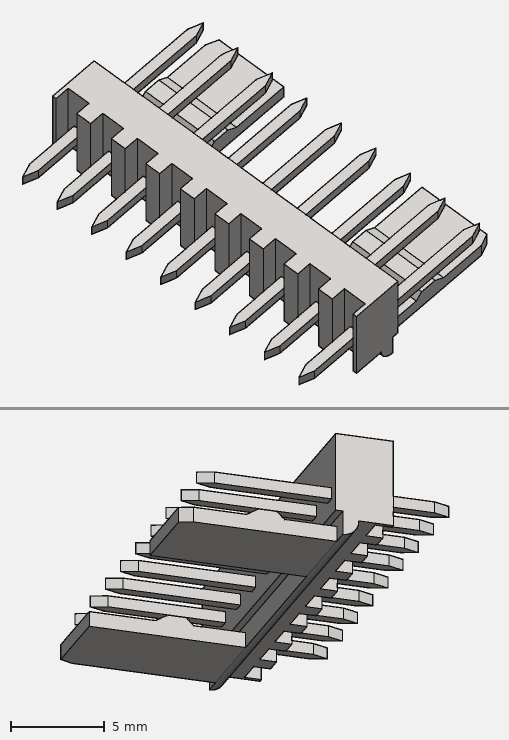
import cadquery as cq

pin_count = 9
pitch = 2.5
pin_size = 0.64
pin_tip_length = 0.9
pin_depth_below_top = 3.2
pin_rear_length = 7.5
pin_front_length = 3.45

height = 5.8
body_depth = 3.25
end_margin = 1.0
body_width = (pin_count - 1) * pitch + 2 * end_margin
lip_height = 0.9
rear_step_depth = 0.4
rear_step_height = 0.45

channel_width = 1.5
channel_depth = 0.95

tab_reach = 8.4
tab_width = 2 * pitch
tab_thickness = 0.86
tab_chamfer_width = 0.3
tab_chamfer_length = 0.75

ridge_height = 0.4
ridge_rear = 4.67
ridge_front = 2.53
ridge_crest_rear = 4.0
ridge_crest_front = 2.95

pin_z = height - pin_depth_below_top
first_pin_x = -(pin_count - 1) * pitch / 2
pin_positions = [first_pin_x + i * pitch for i in range(pin_count)]


def make_body():
    """Housing bar with a rear step and a rounded lip along its lower rear edge."""
    lip_rear_y = -rear_step_depth
    lip_front_y = lip_rear_y - lip_height
    step_z = lip_height + rear_step_height
    arc_factor = 0.5 ** 0.5
    arc_middle = (lip_rear_y - lip_height * arc_factor, lip_height * (1 - arc_factor))
    return (
        cq.Workplane("YZ")
        .moveTo(0, height)
        .lineTo(-body_depth, height)
        .lineTo(-body_depth, lip_height)
        .lineTo(lip_front_y, lip_height)
        .threePointArc(arc_middle, (lip_rear_y, 0))
        .lineTo(lip_rear_y, step_z)
        .lineTo(0, step_z)
        .close()
        .extrude(body_width / 2, both=True)
    )


def make_channel(x):
    """Cutter for the full-height front channel around the pin at x."""
    return (
        cq.Workplane("XY")
        .center(x, -body_depth + channel_depth / 2)
        .rect(channel_width, channel_depth)
        .extrude(height)
    )


def make_pin(x):
    """Square pin through the housing, sharpened to an upright edge at both ends."""
    half = pin_size / 2
    rear_tip = pin_rear_length
    front_tip = -body_depth - pin_front_length
    return (
        cq.Workplane("XY", origin=(x, 0, pin_z - half))
        .moveTo(0, rear_tip)
        .lineTo(half, rear_tip - pin_tip_length)
        .lineTo(half, front_tip + pin_tip_length)
        .lineTo(0, front_tip)
        .lineTo(-half, front_tip + pin_tip_length)
        .lineTo(-half, rear_tip - pin_tip_length)
        .close()
        .extrude(pin_size)
    )


def make_left_tab():
    """Ridged tab under the first three pins, with its outer rear corner cut off."""
    outer_x = first_pin_x
    tab = (
        cq.Workplane("YZ", origin=(outer_x, 0, 0))
        .moveTo(-rear_step_depth, 0)
        .lineTo(tab_reach, 0)
        .lineTo(tab_reach, tab_thickness)
        .lineTo(ridge_rear, tab_thickness)
        .lineTo(ridge_crest_rear, tab_thickness + ridge_height)
        .lineTo(ridge_crest_front, tab_thickness + ridge_height)
        .lineTo(ridge_front, tab_thickness)
        .lineTo(-rear_step_depth, tab_thickness)
        .close()
        .extrude(tab_width)
    )
    corner = (
        cq.Workplane("XY")
        .moveTo(outer_x, tab_reach)
        .lineTo(outer_x + tab_chamfer_width, tab_reach)
        .lineTo(outer_x, tab_reach - tab_chamfer_length)
        .close()
        .extrude(tab_thickness)
    )
    return tab.cut(corner)


result = make_body()
for pin_x in pin_positions:
    result = result.cut(make_channel(pin_x))

left_tab = make_left_tab()
result = result.union(left_tab).union(left_tab.mirror("YZ"))

for pin_x in pin_positions:
    result = result.union(make_pin(pin_x))